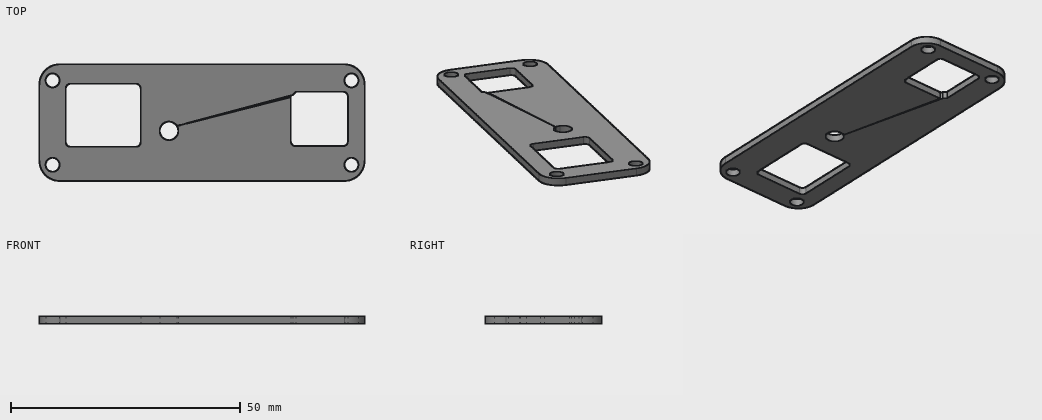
import cadquery as cq
import math

PLATE_LENGTH = 71.02
PLATE_WIDTH = 25.52
PLATE_THICKNESS = 1.69
PLATE_CORNER_RADIUS = 4.5

MOUNT_HOLE_DIAMETER = 3.0
MOUNT_SPACING_X = 65.2
MOUNT_SPACING_Y = 18.4

CENTER_HOLE_DIAMETER = 4.0
CENTER_HOLE_X = -7.2
CENTER_HOLE_Y = -1.8

WINDOW_RADIUS = 1.0

LARGE_WINDOW_LEFT = -29.7
LARGE_WINDOW_BOTTOM = -5.25
LARGE_WINDOW_LENGTH = 16.3
LARGE_WINDOW_WIDTH = 13.7

SMALL_WINDOW_LEFT = 19.4
SMALL_WINDOW_BOTTOM = -5.1
SMALL_WINDOW_LENGTH = 12.4
SMALL_WINDOW_WIDTH = 11.8
SMALL_WINDOW_CORNER_CUT = 1.1

SLIT_TIP_ANGLE = 32
SLIT_END_RISE = 0.4


def make_plate():
    plate = cq.Workplane("XY").rect(PLATE_LENGTH, PLATE_WIDTH).extrude(PLATE_THICKNESS)
    return plate.edges("|Z").fillet(PLATE_CORNER_RADIUS)


def make_window_block(left, bottom, length, width):
    """Square-cornered cutter, placed by its lower left corner."""
    block = cq.Workplane("XY").box(length, width, PLATE_THICKNESS, centered=False)
    return block.translate((left, bottom, 0))


def make_large_window():
    window = make_window_block(
        LARGE_WINDOW_LEFT,
        LARGE_WINDOW_BOTTOM,
        LARGE_WINDOW_LENGTH,
        LARGE_WINDOW_WIDTH,
    )
    return window.edges("|Z").fillet(WINDOW_RADIUS)


def make_small_window():
    window = make_window_block(
        SMALL_WINDOW_LEFT,
        SMALL_WINDOW_BOTTOM,
        SMALL_WINDOW_LENGTH,
        SMALL_WINDOW_WIDTH,
    )
    window = window.edges("|Z and (>X or <Y)").fillet(WINDOW_RADIUS)
    return window.edges("|Z and <X and >Y").chamfer(SMALL_WINDOW_CORNER_CUT)


def make_mount_holes():
    holes = cq.Workplane("XY").rect(MOUNT_SPACING_X, MOUNT_SPACING_Y, forConstruction=True).vertices()
    return holes.circle(MOUNT_HOLE_DIAMETER / 2).extrude(PLATE_THICKNESS)


def make_center_hole():
    hole = cq.Workplane("XY").center(CENTER_HOLE_X, CENTER_HOLE_Y)
    return hole.circle(CENTER_HOLE_DIAMETER / 2).extrude(PLATE_THICKNESS)


def make_slit():
    """Thin wedge, widening from the round hole to the lower end of the small window's straight corner."""
    tip_angle = math.radians(SLIT_TIP_ANGLE)
    tip = (
        CENTER_HOLE_X + CENTER_HOLE_DIAMETER / 2 * math.cos(tip_angle),
        CENTER_HOLE_Y + CENTER_HOLE_DIAMETER / 2 * math.sin(tip_angle),
    )
    lower_end = (SMALL_WINDOW_LEFT, SMALL_WINDOW_BOTTOM + SMALL_WINDOW_WIDTH - SMALL_WINDOW_CORNER_CUT)
    upper_end = (lower_end[0] + SLIT_END_RISE, lower_end[1] + SLIT_END_RISE)
    outline = cq.Workplane("XY").polyline([tip, lower_end, upper_end]).close()
    return outline.extrude(PLATE_THICKNESS)


cutters = (
    make_mount_holes(),
    make_center_hole(),
    make_large_window(),
    make_small_window(),
    make_slit(),
)

result = make_plate()
for cutter in cutters:
    result = result.cut(cutter)